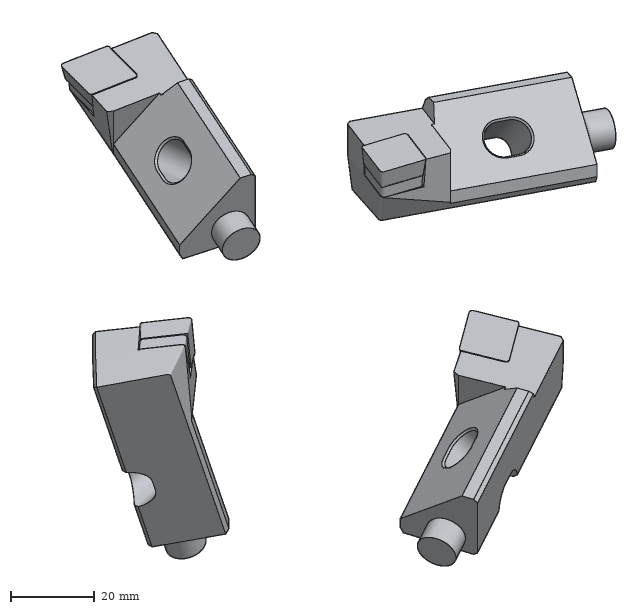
import cadquery as cq
import math


shank_start = 20.0
shank_end = 58.0
height = 21.0
width = 20.0
crest_width = 4.0
front_height = height - (width - crest_width)
back_chamfer = 1.0
relief_angle = 25.4
relief_foot = 19.2

slot_x = 38.0
slot_diameter = 9.0
slot_straight = 3.0
slot_chamfer = 0.5
slot_y = -(crest_width + height) / 2
slot_z = -slot_y

insert_size = 12.7
insert_thickness = 4.76
insert_angle = 80.0
insert_radius = 0.8
insert_clearance = 7.0

tip_reach = 25.0
tip_height = 16.0
tilt = 5.0
tilt_rad = math.radians(tilt)
head_frame = cq.Plane(
    origin=(0, -tip_reach, tip_height),
    xDir=(1, 0, 0),
    normal=(0, -math.sin(tilt_rad), math.cos(tilt_rad)),
)
head_side = cq.Plane(head_frame.origin, xDir=head_frame.xDir, normal=-head_frame.yDir)

head_left = 1.0
head_top_drop = 0.3
head_front_at_left = 1.2
head_front_slope = 7.2
head_left_radius = 0.8
corner_angle = 25.0
shim_thickness = 3.18
shim_outer_inset = 0.9
shim_inner_inset = 0.4
pocket_draft = 1.7
pocket_depth = insert_thickness + shim_thickness
pocket_floor_rim = 0.55
side_relief_drop = pocket_depth + pocket_floor_rim
side_relief_angle = 7.0
step_foot = 20.8
step_angle = 21.0

screw_y = -7.4
screw_z = 7.3
screw_head_diameter = 10.0
screw_neck_diameter = 5.0
screw_head_length = 7.0
screw_neck_length = 1.0
screw_head_radius = 1.0
screw_neck_radius = 0.4

reach = 60.0


def tan(degrees):
    return math.tan(math.radians(degrees))


def rhombus(outer_inset, inner_inset):
    """Insert outline in the head frame; one side lies along Y.

    `outer_inset` moves the two cutting sides inwards, `inner_inset` the two sides in the pocket.
    """
    lean = tan(90 - insert_angle)
    side = insert_size / math.sin(math.radians(insert_angle))
    left = outer_inset
    right = insert_size - inner_inset
    front = outer_inset / math.sin(math.radians(insert_angle))
    back = side - inner_inset / math.sin(math.radians(insert_angle))
    return [
        (left, left * lean + front),
        (right, right * lean + front),
        (right, right * lean + back),
        (left, left * lean + back),
    ]


def rhombic_block(top, depth, taper=0.0, outer_inset=0.0, inner_inset=0.0):
    """Rhombic prism with round corners, going down from level `top` of the head frame."""
    corners = rhombus(outer_inset, inner_inset)
    outline = cq.Sketch().polygon([*corners, corners[0]]).vertices().fillet(insert_radius)
    return (
        cq.Workplane(head_frame).workplane(offset=top).placeSketch(outline)
        .extrude(-depth, taper=taper)
    )


def make_shank():
    relief_height = (width - relief_foot) / tan(relief_angle)
    profile = [
        (-back_chamfer, 0),
        (-relief_foot, 0),
        (-width, relief_height),
        (-width, front_height),
        (-crest_width, height),
        (-back_chamfer, height),
        (0, height - back_chamfer),
        (0, back_chamfer),
    ]
    shank = (
        cq.Workplane("YZ").workplane(offset=shank_start).polyline(profile).close()
        .extrude(shank_end - shank_start)
    )
    return shank.cut(crest_step()).cut(clamping_slot())


def crest_step():
    """Space above the head top, up to the sloping end of the shank crest."""
    profile = [
        (0, -head_top_drop),
        (step_foot, -head_top_drop),
        (step_foot + reach * tan(step_angle), reach - head_top_drop),
        (0, reach - head_top_drop),
    ]
    return cq.Workplane(head_side).polyline(profile).close().extrude(reach, both=True)


def clamping_slot():
    mouth = cq.Plane(origin=(slot_x, slot_y, slot_z), xDir=(1, 0, 0), normal=(0, -1, 1))
    slot = (
        cq.Workplane(mouth).slot2D(slot_straight + slot_diameter, slot_diameter)
        .extrude(-reach)
    )
    mouth_diameter = slot_diameter + 2 * slot_chamfer
    flare = (
        cq.Workplane(mouth).slot2D(slot_straight + mouth_diameter, mouth_diameter)
        .extrude(-slot_chamfer, taper=45)
    )
    return slot.union(flare)


def make_head():
    """Tilted block, trimmed by the sides of the cartridge, with its upright corners finished."""
    front_at_right = head_front_at_left + (shank_start - head_left) * tan(head_front_slope)
    outline = [
        (head_left, head_front_at_left),
        (shank_start, front_at_right),
        (shank_start, reach),
        (head_left, reach),
    ]
    block = (
        cq.Workplane(head_frame).workplane(offset=-head_top_drop)
        .polyline(outline).close().extrude(-reach)
    )
    head = block.intersect(front_relief_limit()).intersect(side_relief_limit())
    head = head.edges(left_edges_near(-back_chamfer, back_chamfer)).chamfer(back_chamfer)
    head = head.edges(left_edges_near(-tip_reach, -relief_foot)).fillet(head_left_radius)
    return head.cut(right_corner()).cut(lower_back_corner())


def left_edges_near(front, back):
    """Selects the edges on the left side of the head whose middle lies between two Y values."""
    return cq.selectors.BoxSelector((0, front, back_chamfer), (2 * head_left, back, tip_height))


def right_corner():
    """Upright wedge that bevels the head's front right corner down to the shank front."""
    outline = [
        (shank_start, -width),
        (shank_start - reach * tan(corner_angle), -width - reach),
        (shank_start, -width - reach),
    ]
    return cq.Workplane("XY").polyline(outline).close().extrude(height)


def lower_back_corner():
    """Wedge that continues the shank's lower back chamfer along the head."""
    outline = [(0, 0), (-back_chamfer, 0), (0, back_chamfer)]
    return cq.Workplane("YZ").polyline(outline).close().extrude(shank_start)


def front_relief_limit():
    """Space between the back face, the underside and the lower front relief."""
    profile = [
        (0, 0),
        (-relief_foot, 0),
        (-relief_foot - reach * tan(relief_angle), reach),
        (0, reach),
    ]
    return cq.Workplane("YZ").polyline(profile).close().extrude(reach)


def side_relief_limit():
    """Everything to the right of the head's left side, whose lower part leans in."""
    profile = [
        (head_left, reach),
        (head_left, -side_relief_drop),
        (head_left + reach * tan(side_relief_angle), -side_relief_drop - reach),
        (reach, -side_relief_drop - reach),
        (reach, reach),
    ]
    return cq.Workplane(head_side).polyline(profile).close().extrude(reach, both=True)


def make_screw():
    """Screw head and its visible neck, turned about an axis along X."""
    axis = cq.Plane(origin=(shank_end, screw_y, screw_z), xDir=(1, 0, 0), normal=(0, -1, 0))
    neck = screw_neck_diameter / 2
    head = screw_head_diameter / 2
    head_start = screw_neck_length
    head_end = head_start + screw_head_length
    return (
        cq.Workplane(axis)
        .lineTo(0, neck)
        .lineTo(head_start - screw_neck_radius, neck)
        .tangentArcPoint((head_start, neck + screw_neck_radius), relative=False)
        .lineTo(head_start, head - screw_head_radius)
        .tangentArcPoint((head_start + screw_head_radius, head), relative=False)
        .lineTo(head_end, head)
        .lineTo(head_end, 0)
        .close()
        .revolve(360, (0, 0), (1, 0))
    )


pocket = rhombic_block(0, pocket_depth, pocket_draft)
shim = rhombic_block(
    -insert_thickness, shim_thickness, outer_inset=shim_outer_inset, inner_inset=shim_inner_inset)
cartridge = make_shank().union(make_head()).cut(pocket).union(shim).union(make_screw())

insert = rhombic_block(0, insert_thickness, insert_clearance)

result = cq.Compound.makeCompound([cartridge.val(), insert.val()])